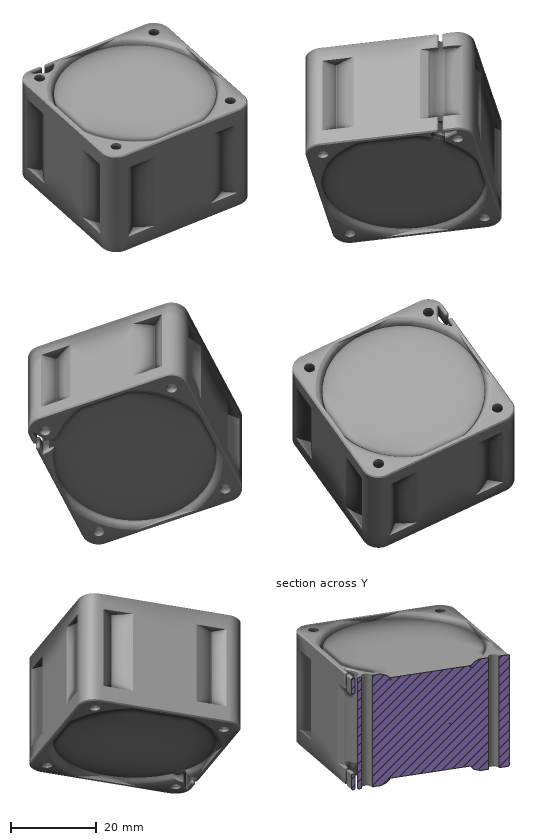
import cadquery as cq
import math

side = 40.0
height = 28.0
corner_radius = 4.0
edge_chamfer = 0.3
wall = 1.0
half = side / 2

hole_diameter = 2.6
hole_offset = half - corner_radius

hub_radius = 18.9
top_recess = 1.3
bottom_recess = 1.5
mouth_radius = 20.5
mouth_depth = 2.0

pocket_height = 20.0
pocket_bottom = (height - pocket_height) / 2
pocket_arc_radius = 21.5
pocket_arc_end_y = 12.25
pocket_floor = (-17.65, 12.55)
pocket_end_y = 15.25

lip_x = -half + wall
channel_center = (-half, -13.0)
channel_radius = 3.0
channel_tip_fillet = 0.2
window_arc_end_y = -9.77
slit_center = -12.7
slit_width = 1.0
lip_fillet = 0.45
screw_wall = 0.9
ramp_angle = math.radians(29)

passage_height = 4.9
passage_radius = 20.2
passage_upper_y = -9.95
passage_lower_y = -12.8


def point_on_arc(radius, y):
    """Point with the given y on the -X half of a circle about the Z axis."""
    return (-math.sqrt(radius**2 - y**2), y)


def ramp_point(x):
    """Point on the channel's flat ramp, which leaves an even wall around the screw hole."""
    distance = hole_diameter / 2 + screw_wall
    base_x = -hole_offset - distance * math.cos(ramp_angle)
    base_y = -hole_offset + distance * math.sin(ramp_angle)
    return (x, base_y + (x - base_x) / math.tan(ramp_angle))


def channel_flat_end():
    """Point where the channel's 45 degree flat runs tangent into its round back."""
    center_x, center_y = channel_center
    diagonal = channel_radius * math.sqrt(0.5)
    return (center_x + diagonal, center_y + diagonal)


def channel_flat_point(x):
    """Point with the given x on the line of the channel's 45 degree flat."""
    end_x, end_y = channel_flat_end()
    return (x, end_y + end_x - x)


def make_channel():
    """Cable channel over the full height: 45 degree flat, round back, ramp and lip wall."""
    center_x, center_y = channel_center
    arc_middle = (
        center_x + channel_radius * math.cos(math.pi / 8),
        center_y + channel_radius * math.sin(math.pi / 8),
    )
    back = (center_x + channel_radius, center_y)
    channel = (
        cq.Workplane("XY")
        .moveTo(*channel_flat_point(lip_x))
        .lineTo(*channel_flat_end())
        .threePointArc(arc_middle, back)
        .lineTo(*ramp_point(back[0]))
        .lineTo(*ramp_point(lip_x))
        .close()
        .extrude(height)
    )
    return channel.edges("|Z and <X").fillet(channel_tip_fillet)


def make_frame():
    """Rounded block with the cable channel and slit, chamfered along both end outlines."""
    frame = cq.Workplane("XY").box(side, side, height, centered=(True, True, False))
    frame = frame.edges("|Z").fillet(corner_radius)
    slit = (
        cq.Workplane("XY")
        .center(-half + wall / 2, slit_center)
        .rect(2 * wall, slit_width)
        .extrude(height)
    )
    frame = frame.cut(make_channel()).cut(slit)
    lips = cq.selectors.BoxSelector(
        (-half - slit_width, slit_center - slit_width, 0),
        (lip_x + slit_width, slit_center + slit_width, height),
    )
    frame = frame.edges("|Z").edges(lips).fillet(lip_fillet)
    return frame.faces("<Z or >Z").edges().chamfer(edge_chamfer)


def make_mouth(recess):
    """Flared cut at the top: vertical at the hub, widening upward, kept inside the walls."""
    flare = mouth_radius - hub_radius
    curve_radius = (flare**2 + mouth_depth**2) / (2 * flare)
    middle_rise = mouth_depth / 2
    middle_flare = curve_radius - math.sqrt(curve_radius**2 - middle_rise**2)
    root = height - mouth_depth
    bell = (
        cq.Workplane("XZ")
        .moveTo(0, root)
        .lineTo(hub_radius, root)
        .threePointArc((hub_radius + middle_flare, root + middle_rise), (mouth_radius, height))
        .lineTo(0, height)
        .close()
        .revolve(360, (0, 0, 0), (0, 1, 0))
    )
    inner_width = side - 2 * wall
    limit = cq.Workplane("XY").box(inner_width, inner_width, height, centered=(True, True, False))
    hub = cq.Workplane("XY").circle(hub_radius).extrude(height - recess)
    return bell.intersect(limit).cut(hub)


def make_pocket():
    """Side pocket on the -X side at +Y: round flank along the hub and a flat outer flank."""
    start_y = math.sqrt(pocket_arc_radius**2 - half**2)
    return (
        cq.Workplane("XY", origin=(0, 0, pocket_bottom))
        .moveTo(-half, start_y)
        .threePointArc(
            point_on_arc(pocket_arc_radius, (start_y + pocket_arc_end_y) / 2),
            point_on_arc(pocket_arc_radius, pocket_arc_end_y),
        )
        .lineTo(*pocket_floor)
        .lineTo(-half, pocket_end_y)
        .close()
        .extrude(pocket_height)
    )


def make_channel_window():
    """Window through the -X wall that opens the cable channel over the pocket height."""
    start_y = -math.sqrt(pocket_arc_radius**2 - half**2)
    fillet_end_x = lip_x + channel_tip_fillet * (1 + math.sqrt(0.5))
    return (
        cq.Workplane("XY", origin=(0, 0, pocket_bottom))
        .moveTo(-half, start_y)
        .threePointArc(
            point_on_arc(pocket_arc_radius, (start_y + window_arc_end_y) / 2),
            point_on_arc(pocket_arc_radius, window_arc_end_y),
        )
        .lineTo(*channel_flat_point(fillet_end_x))
        .lineTo(*ramp_point(-half + 2 * wall))
        .lineTo(*ramp_point(-half))
        .close()
        .extrude(pocket_height)
    )


def make_passage_level(inner_radius, level_height):
    """Cut from the cable channel inward to a circle about the Z axis, up to the given height."""
    center_x, center_y = channel_center
    opening = (
        cq.Workplane("XY")
        .moveTo(lip_x, passage_upper_y)
        .lineTo(*point_on_arc(hub_radius, passage_upper_y))
        .lineTo(*point_on_arc(hub_radius, passage_lower_y))
        .lineTo(*ramp_point(center_x + channel_radius))
        .lineTo(center_x + channel_radius, center_y)
        .close()
        .extrude(level_height)
    )
    core = cq.Workplane("XY").circle(inner_radius).extrude(level_height)
    return opening.cut(core)


result = make_frame()

holes = cq.Workplane("XY").rect(2 * hole_offset, 2 * hole_offset, forConstruction=True)
result = result.cut(holes.vertices().circle(hole_diameter / 2).extrude(height))

result = result.cut(make_mouth(top_recess))
result = result.cut(make_mouth(bottom_recess).mirror("XY", (0, 0, height / 2)))

upper_pocket = make_pocket()
lower_pocket = upper_pocket.mirror("XZ")
for quarter in range(4):
    angle = 90 * quarter
    result = result.cut(upper_pocket.rotate((0, 0, 0), (0, 0, 1), angle))
    if quarter > 0:
        result = result.cut(lower_pocket.rotate((0, 0, 0), (0, 0, 1), angle))

result = result.cut(make_channel_window())
result = result.cut(make_passage_level(passage_radius, passage_height))
result = result.cut(make_passage_level(hub_radius, bottom_recess))